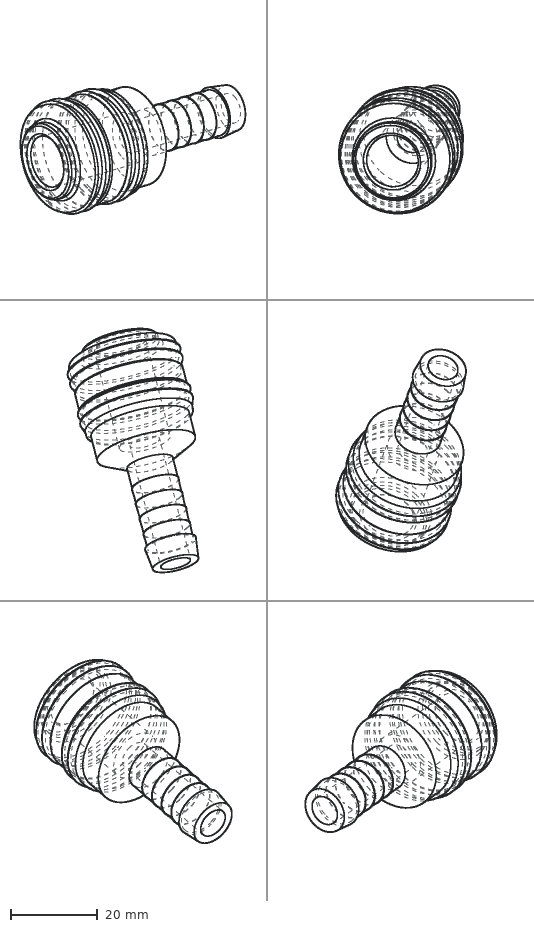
import cadquery as cq

total_length = 55.0
front_y = -total_length / 2

nose_radius = 9.0
nose_chamfer = 0.5
nose_length = 1.75
shoulder_radius = 9.75

sleeve_front = 2.55
sleeve_back = 20.45
sleeve_radius = 12.7
sleeve_front_fillet = 0.8
sleeve_back_fillet = 0.7

ridge_diameter = 26.8
ridge_radius = ridge_diameter / 2
ridge_land = 0.35
ridge_fillet = 0.3
ridge_root_radius = 12.4
front_ridges = 4.5
back_ridges = 14.4
ridge_pitch = 2.3

band_radius = 12.8
band_start = 9.5
band_end = 13.95
band_edge = 0.35

collar_radius = 11.65
collar_end = 26.45
cone_end = 30.05
stem_radius = 5.45

barb_diameter = 11.15
barb_radius = barb_diameter / 2
barb_length = 1.85
barb_pitch = 3.75
barb_count = 4
first_barb = 35.1
head_start = 50.0
head_radius = 6.05

socket_radius = 6.05
socket_depth = 24.75
socket_chamfer = 0.65
passage_radius = 3.5


def revolve_profile(profile):
    """Turn a closed (radius, distance) profile around the Y axis."""
    return profile.close().revolve(360, (0, 0, 0), (0, 1, 0)).translate((0, front_y, 0))


def cylinder(radius, start, end):
    profile = cq.Workplane("XY").polyline([(0, start), (radius, start), (radius, end), (0, end)])
    return revolve_profile(profile)


def cone(start_radius, end_radius, start, end):
    profile = cq.Workplane("XY").polyline([(0, start), (start_radius, start), (end_radius, end), (0, end)])
    return revolve_profile(profile)


def make_nose():
    nose = cylinder(nose_radius, 0, sleeve_front).faces("<Y").chamfer(nose_chamfer)
    shoulder_round = shoulder_radius - nose_radius
    shoulder = cylinder(shoulder_radius, nose_length, sleeve_front)
    return nose.union(shoulder.faces("<Y").edges().fillet(shoulder_round))


def make_ridge(start, end, end_radius):
    land_end = start + ridge_land
    land = cylinder(ridge_radius, start, land_end).faces("<Y").edges().fillet(ridge_fillet)
    return land.union(cone(ridge_radius, end_radius, land_end, end))


def make_sleeve():
    first_back_ridge_end = back_ridges + ridge_pitch
    last_ridge_end = first_back_ridge_end + ridge_pitch
    front_end = cylinder(sleeve_radius, sleeve_front, front_ridges)
    back_end = cylinder(sleeve_radius, last_ridge_end, sleeve_back)
    sleeve = cylinder(ridge_root_radius, front_ridges, last_ridge_end)
    sleeve = sleeve.union(front_end.faces("<Y").edges().fillet(sleeve_front_fillet))
    sleeve = sleeve.union(back_end.faces(">Y").edges().fillet(sleeve_back_fillet))

    for start in (front_ridges, front_ridges + ridge_pitch, back_ridges):
        sleeve = sleeve.union(make_ridge(start, start + ridge_pitch, ridge_root_radius))
    sleeve = sleeve.union(make_ridge(first_back_ridge_end, last_ridge_end, sleeve_radius))

    sleeve = sleeve.union(cone(ridge_root_radius, band_radius, band_start - band_edge, band_start))
    sleeve = sleeve.union(cylinder(band_radius, band_start, band_end))
    return sleeve.union(cone(band_radius, ridge_root_radius, band_end, band_end + band_edge))


def make_hose_end():
    hose_end = cylinder(collar_radius, sleeve_back, collar_end)
    hose_end = hose_end.union(cone(collar_radius, stem_radius, collar_end, cone_end))
    hose_end = hose_end.union(cylinder(stem_radius, cone_end, head_start))
    for index in range(barb_count):
        start = first_barb + index * barb_pitch
        hose_end = hose_end.union(cone(barb_radius, stem_radius, start, start + barb_length))
    return hose_end.union(cone(head_radius, stem_radius, head_start, total_length))


def make_passage():
    passage = cylinder(passage_radius, 0, total_length)
    passage = passage.union(cylinder(socket_radius, 0, socket_depth))
    return passage.union(cone(socket_radius + socket_chamfer, socket_radius, 0, socket_chamfer))


result = make_nose().union(make_sleeve()).union(make_hose_end()).cut(make_passage())